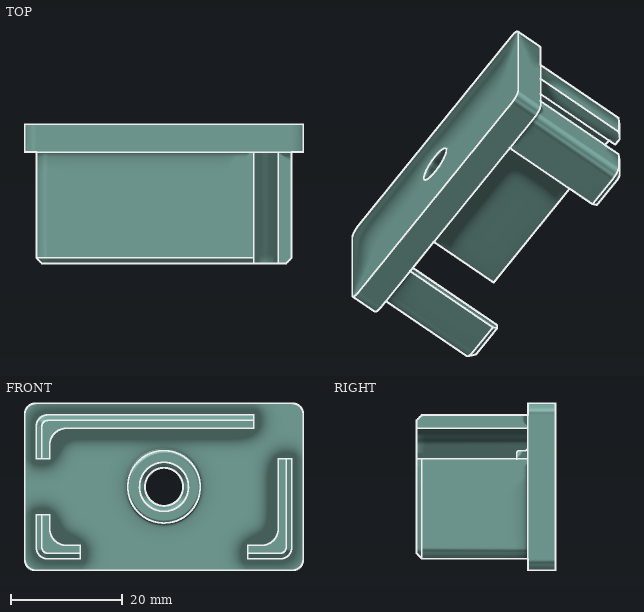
import cadquery as cq

plate_length = 50.0
plate_height = 30.0
plate_thickness = 5.0
plate_corner_radius = 2.0

total_depth = 25.0
ring_margin = 2.1
ring_length = plate_length - 2 * ring_margin
ring_height = plate_height - 2 * ring_margin
ring_depth = total_depth - plate_thickness
wall_thickness = 2.4
ring_outer_radius = 2.0
ring_inner_radius = 3.0
tip_chamfer = 1.0

side_gap_half_height = 5.0
bottom_gap_half_length = 15.0
top_rail_end = 16.1

boss_diameter = 13.0
boss_height = 2.0
boss_edge_radius = 0.5
hole_diameter = 6.8
countersink_diameter = 8.8
countersink_depth = (countersink_diameter - hole_diameter) / 2

back_y = total_depth / 2
plate_front_y = back_y - plate_thickness
boss_front_y = plate_front_y - boss_height


def facing_front(y):
    """Sketch plane at depth y, with X right, Z up and extrusion toward -Y."""
    return cq.Workplane("XZ", origin=(0, y, 0))


def rounded_block(length, height, depth, radius, y):
    """Block with rounded corners, extruded toward -Y from depth y."""
    return facing_front(y).rect(length, height).extrude(depth).edges("|Y").fillet(radius)


def gap(x_min, x_max, z_min, z_max):
    """Block that clears the wall ring over its whole depth within the given limits."""
    return (
        facing_front(plate_front_y)
        .moveTo((x_min + x_max) / 2, (z_min + z_max) / 2)
        .rect(x_max - x_min, z_max - z_min)
        .extrude(ring_depth)
    )


def make_rails():
    outer = rounded_block(ring_length, ring_height, ring_depth, ring_outer_radius, plate_front_y)
    outer = outer.faces("<Y").chamfer(tip_chamfer)
    inner = rounded_block(
        ring_length - 2 * wall_thickness,
        ring_height - 2 * wall_thickness,
        ring_depth,
        ring_inner_radius,
        plate_front_y,
    )
    ring = outer.cut(inner)

    right = plate_length / 2
    top = plate_height / 2
    left_gap = gap(-right, 0, -side_gap_half_height, side_gap_half_height)
    bottom_gap = gap(-bottom_gap_half_length, bottom_gap_half_length, -top, 0)
    corner_gap = gap(top_rail_end, right, side_gap_half_height, top)
    return ring.cut(left_gap).cut(bottom_gap).cut(corner_gap)


def make_boss():
    """Round boss with a rounded rim and a concave fillet where it meets the plate."""
    radius = boss_diameter / 2
    fillet = boss_edge_radius
    diagonal = fillet * 0.5 ** 0.5
    profile = (
        cq.Workplane("XY")
        .moveTo(0, plate_front_y)
        .lineTo(radius + fillet, plate_front_y)
        .threePointArc(
            (radius + fillet - diagonal, plate_front_y - fillet + diagonal),
            (radius, plate_front_y - fillet),
        )
        .lineTo(radius, boss_front_y + fillet)
        .threePointArc(
            (radius - fillet + diagonal, boss_front_y + fillet - diagonal),
            (radius - fillet, boss_front_y),
        )
        .lineTo(0, boss_front_y)
        .close()
    )
    return profile.revolve(360, (0, 0, 0), (0, 1, 0))


def make_hole():
    """Through hole with a 45 degree countersink at the boss face."""
    bore = facing_front(back_y).circle(hole_diameter / 2).extrude(plate_thickness + boss_height)
    countersink = cq.Workplane(
        cq.Solid.makeCone(
            countersink_diameter / 2,
            hole_diameter / 2,
            countersink_depth,
            pnt=cq.Vector(0, boss_front_y, 0),
            dir=cq.Vector(0, 1, 0),
        )
    )
    return bore.union(countersink)


plate = rounded_block(plate_length, plate_height, plate_thickness, plate_corner_radius, back_y)
result = plate.union(make_rails()).union(make_boss()).cut(make_hole())